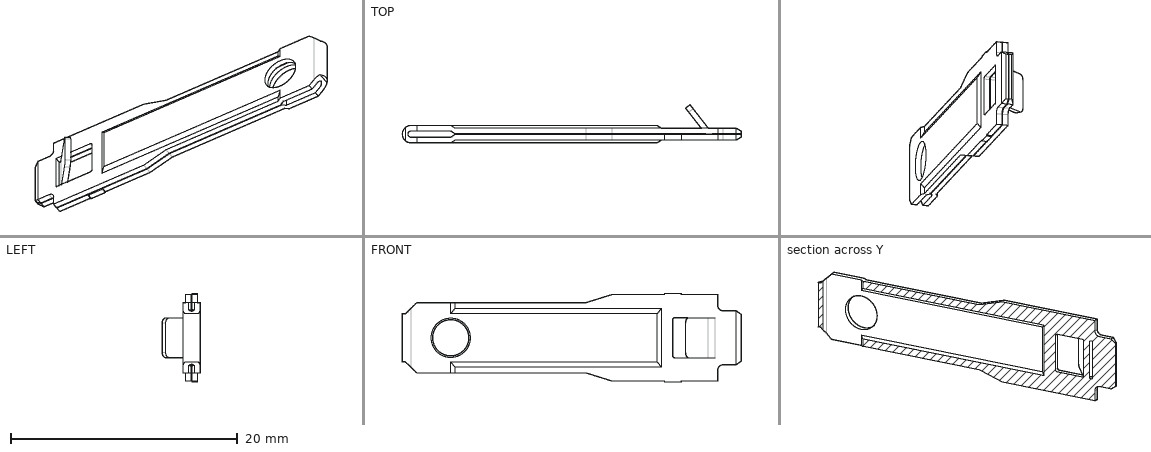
import cadquery as cq
import math


length = 29.9
total_depth = 3.38
total_width = 7.83
sheet = 0.5
leaf_gap = 0.05
flat_half = leaf_gap / 2 + sheet
raised_half = 0.78

fold_half_width = 2.12
head_half_width = 3.1
wide_half_width = 3.83
corner_start_x = 0.27
corner_end_x = 1.3
taper_start_x = 16.2
taper_end_x = 18.5
shoulder_x = 27.85
neck_half_width = 2.4
neck_fillet_radius = 0.45
bump_start_x = 23.1
bump_end_x = 24.6

tip_length = 0.45
tip_bevel_y = 0.27
tip_bevel_z = 0.33

head_end_x = 4.28
head_ramp = 0.35
panel_end_x = 22.85
panel_end_ramp = 0.35
panel_half_width = 2.57
panel_side_ramp = 0.45

eye_x = head_end_x
eye_radius = 1.58
front_eye_radius = 1.73
window_start_x = 23.85
window_end_x = 27.57
window_half_width = 1.75
window_corner_radius = 0.18

tongue_angle = math.radians(52)
tongue_inner_radius = 0.27
tongue_corner_radius = 0.45
tongue_tip_y = total_depth - raised_half


def formed_block(inset):
    """Solid bounded by the formed strip's outer skin, moved inwards by inset."""
    flat = flat_half - inset
    raised = raised_half - inset
    block = (
        cq.Workplane("XY")
        .moveTo(raised_half, raised)
        .lineTo(head_end_x, raised)
        .lineTo(head_end_x + head_ramp, flat)
        .lineTo(length, flat)
        .lineTo(length, -flat)
        .lineTo(head_end_x + head_ramp, -flat)
        .lineTo(head_end_x, -raised)
        .lineTo(raised_half, -raised)
        .threePointArc((raised_half - raised, 0), (raised_half, raised))
        .close()
        .extrude(total_width / 2, both=True)
    )
    panel_length = panel_end_x - raised_half
    panel_top_length = panel_length - panel_end_ramp
    panel_top_half_width = panel_half_width - panel_side_ramp
    panel = (
        cq.Workplane("XZ", origin=(raised_half, -flat, 0))
        .center(panel_length / 2, 0)
        .rect(panel_length, 2 * panel_half_width)
        .workplane(offset=raised - flat)
        .center(-panel_end_ramp / 2, 0)
        .rect(panel_top_length, 2 * panel_top_half_width)
        .loft(ruled=True)
    )
    return block.union(panel).union(panel.mirror("XZ"))


def leaf_outline():
    """Outline of both leaves, extruded through their whole thickness."""
    upper_half = (
        cq.Workplane("XZ")
        .moveTo(0, 0)
        .lineTo(0, fold_half_width)
        .lineTo(corner_start_x, fold_half_width)
        .lineTo(corner_end_x, head_half_width)
        .lineTo(taper_start_x, head_half_width)
        .lineTo(taper_end_x, wide_half_width)
        .lineTo(shoulder_x, wide_half_width)
        .lineTo(shoulder_x, neck_half_width + neck_fillet_radius)
        .radiusArc((shoulder_x + neck_fillet_radius, neck_half_width), -neck_fillet_radius)
        .lineTo(length - tip_length, neck_half_width)
        .lineTo(length, neck_half_width - tip_bevel_z)
        .lineTo(length, 0)
        .close()
        .extrude(raised_half, both=True)
    )
    return upper_half.union(upper_half.mirror("XY"))


def edge_bumps():
    """Band across the front leaf that stands proud of both long edges."""
    return cq.Workplane("XY").box(
        bump_end_x - bump_start_x, flat_half, total_width, centered=(False, False, True)
    ).translate((bump_start_x, -flat_half, 0))


def eye():
    """Eye hole through both leaves, wider in the front one."""
    through = (
        cq.Workplane("XZ").center(eye_x, 0).circle(eye_radius).extrude(raised_half, both=True)
    )
    front = cq.Workplane("XZ").center(eye_x, 0).circle(front_eye_radius).extrude(raised_half)
    return through.union(front)


def window():
    """Window through both leaves, with rounded corners at its left end."""
    return (
        cq.Workplane("XY")
        .box(
            window_end_x - window_start_x,
            2 * flat_half,
            2 * window_half_width,
            centered=(False, True, True),
        )
        .translate((window_start_x, 0, 0))
        .edges("|Y and <X")
        .fillet(window_corner_radius)
    )


def tip_bevels():
    """Wedges removed from the front and back of the neck's tip."""
    wedge = (
        cq.Workplane("XY")
        .moveTo(length - tip_length, flat_half)
        .lineTo(length, flat_half)
        .lineTo(length, flat_half - tip_bevel_y)
        .close()
        .extrude(total_width / 2, both=True)
    )
    return wedge.union(wedge.mirror("XZ"))


def tongue():
    """Tongue that bends away from the window's right edge and leans back through it."""
    outer_radius = tongue_inner_radius + sheet
    center_y = outer_radius - flat_half

    def on_bend(radius, angle):
        return (
            window_end_x - radius * math.sin(angle),
            center_y - radius * math.cos(angle),
        )

    inner_end = on_bend(tongue_inner_radius, tongue_angle)
    outer_end = on_bend(outer_radius, tongue_angle)
    rise = tongue_tip_y - inner_end[1]
    run = rise / math.tan(tongue_angle)
    profile = (
        cq.Workplane("XY")
        .moveTo(*on_bend(outer_radius, 0))
        .threePointArc(on_bend(outer_radius, tongue_angle / 2), outer_end)
        .lineTo(outer_end[0] - run, outer_end[1] + rise)
        .lineTo(inner_end[0] - run, tongue_tip_y)
        .lineTo(*inner_end)
        .threePointArc(
            on_bend(tongue_inner_radius, tongue_angle / 2), on_bend(tongue_inner_radius, 0)
        )
        .close()
    )
    across_sheet = cq.Vector(math.sin(tongue_angle), math.cos(tongue_angle), 0)
    tip_corners = cq.selectors.ParallelDirSelector(across_sheet) - cq.selectors.BoxSelector(
        (outer_end[0] - run / 2, -total_depth, -total_width),
        (length, total_depth, total_width),
    )
    return (
        profile.extrude(window_half_width, both=True)
        .edges(tip_corners)
        .fillet(tongue_corner_radius)
    )


strip = formed_block(0).intersect(leaf_outline()).union(edge_bumps())
leaves = strip.cut(formed_block(sheet))
result = leaves.cut(eye()).cut(window()).cut(tip_bevels()).union(tongue())